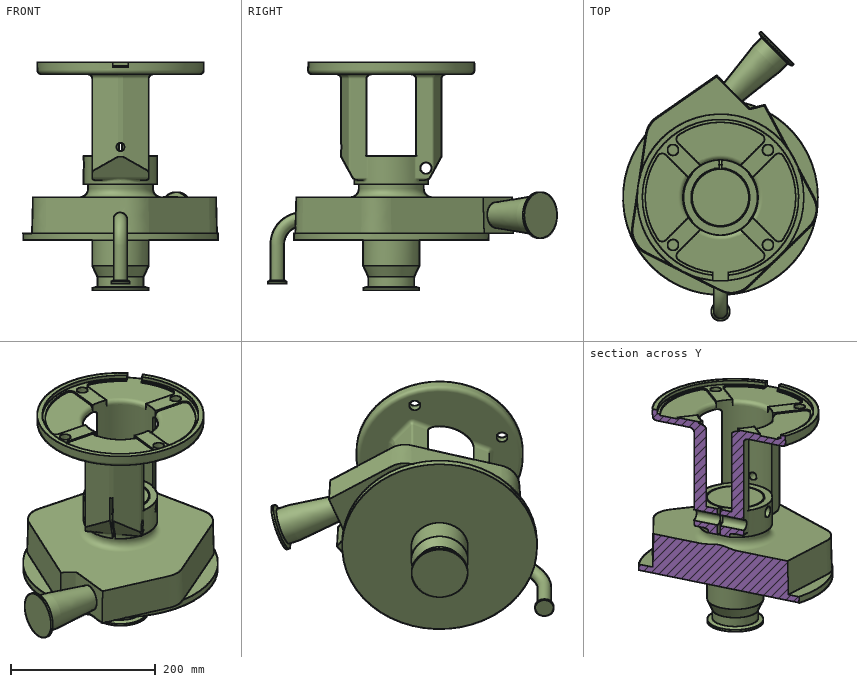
import cadquery as cq
import math

plate_top = 9.5
casing_top = 59.5
neck_top = 77.0
collar_top = 116.0
flange_top = 245.5

plate_radius = 134.5
casing_draft = 1.5
casing_corner_radius = 35.0
casing_outlet_top = (-5.0, 168.5)
outlet_face_length = 64.5
casing_tip = (61.0, 128.0)
casing_rounded_corners = [(141.5, -23.0), (21.5, -140.0), (-125.5, -65.5), (-101.0, 101.8)]

neck_radius = 45.0
neck_fillet = 11.0
collar_radius = 51.0
collar_bore_radius = 40.5
shaft_radius = 39.0
collar_hole_radius = 7.5
collar_hole_height = 104.0

yoke_bore_radius = 52.0
leg_half_width = 39.0
leg_shoulder = 58.3
leg_ridge = 69.5
ridge_half_width = 3.0
leg_bottom = 83.0
leg_bevel_height = 115.5
leg_bevel_run_per_rise = 0.55
leg_edge_fillet = 3.0
leg_collar_fillet = 3.0
leg_foot_fillet = 8.8
leg_root_fillet = 6.0
leg_hole_radius = 5.5
leg_hole_height = 128.5
clamp_slit_width = 4.0
clamp_slit_top = 151.5
clamp_bolt_radius = 7.5
clamp_bolt_offset = 48.0
clamp_bolt_height = 99.5

flange_radius = 115.0
flange_thickness = 16.8
flange_fillet = 6.0
flange_bottom = flange_top - flange_thickness
recess_radius = 107.7
recess_depth = 5.0
pocket_radius = 103.7
pocket_depth = 2.0
pocket_corner_radius = 7.0
pocket_lip_radius = 6.5
spoke_width = 23.5
bolt_circle_radius = 92.5
bolt_hole_radius = 7.5
notch_width = 21.0

inlet_body_radius = 39.0
inlet_body_length = 35.0
inlet_cone_end = 50.5
inlet_tube_radius = 32.0
inlet_length = 69.0
inlet_rim_radius = 38.7

outlet_root_radius = 18.0
outlet_root_depth = 4.0
outlet_cone_length = 64.2
outlet_tube_radius = 25.5
outlet_length = 85.8
outlet_rim_radius = 32.0

drain_radius = 9.5
drain_offset = 157.2
drain_bend_radius = 35.0
drain_bend_bottom = -6.0
drain_bottom = -60.3
drain_rim_radius = 12.95
drain_root = 111.7

rim_thickness = 3.0
rim_back = 2.0

diagonal = math.sqrt(0.5)


def cylinder(radius, bottom, top):
    return cq.Workplane("XY").workplane(offset=bottom).circle(radius).extrude(top - bottom)


def nearest(x, y, z):
    return cq.selectors.NearestToPointSelector((x, y, z))


def revolved(profile):
    """Solid turned about Z from a closed profile of radius and height."""
    return profile.close().revolve(360, (0, 0, 0), (0, 1, 0))


def make_casing():
    plate = cylinder(plate_radius, 0, plate_top)
    step = outlet_face_length * diagonal
    outlet_foot = (casing_outlet_top[0] + step, casing_outlet_top[1] - step)
    outline = [casing_outlet_top, outlet_foot, casing_tip] + casing_rounded_corners
    height = casing_top - plate_top
    body = cq.Workplane("XY").polyline(outline).close().extrude(height)
    for x, y in casing_rounded_corners:
        body = body.edges(nearest(x, y, casing_top / 2)).fillet(casing_corner_radius)
    drafted = body.faces("<Z").wires().toPending().extrude(height, taper=casing_draft, combine=False)
    return plate.union(drafted.translate((0, 0, plate_top)))


def make_neck_and_collar():
    arc_reach = neck_fillet * (1 - diagonal)
    neck = revolved(
        cq.Workplane("XZ")
        .moveTo(0, plate_top)
        .lineTo(neck_radius + neck_fillet, plate_top)
        .lineTo(neck_radius + neck_fillet, casing_top)
        .threePointArc(
            (neck_radius + arc_reach, casing_top + arc_reach),
            (neck_radius, casing_top + neck_fillet),
        )
        .lineTo(neck_radius, neck_top)
        .lineTo(0, neck_top)
    )
    return neck.union(cylinder(collar_radius, neck_top, collar_top))


def make_leg():
    """Leg on the -Y side, with a ridged outer face and a bevelled foot."""
    leg = (
        cq.Workplane("XY")
        .workplane(offset=leg_bottom)
        .polyline([
            (-leg_half_width, 0),
            (-leg_half_width, -leg_shoulder),
            (-ridge_half_width, -leg_ridge),
            (ridge_half_width, -leg_ridge),
            (leg_half_width, -leg_shoulder),
            (leg_half_width, 0),
        ])
        .close()
        .extrude(flange_bottom - leg_bottom)
    )
    for x in (-leg_half_width, leg_half_width):
        shoulder = nearest(x, -leg_shoulder, (leg_bottom + flange_bottom) / 2)
        leg = leg.edges(shoulder).fillet(leg_edge_fillet)
        bottom_edge = nearest(x, -leg_half_width, leg_bottom)
        leg = leg.edges(bottom_edge).fillet(leg_edge_fillet)
    bevel_foot = leg_ridge - leg_bevel_run_per_rise * (leg_bevel_height - leg_bottom)
    side = (
        cq.Workplane("YZ")
        .polyline([
            (0, leg_bottom),
            (-bevel_foot, leg_bottom),
            (-leg_ridge, leg_bevel_height),
            (-leg_ridge, flange_bottom),
            (0, flange_bottom),
        ])
        .close()
        .extrude(leg_half_width, both=True)
    )
    foot = nearest(0, -bevel_foot, leg_bottom)
    return leg.intersect(side.edges(foot).fillet(leg_foot_fillet))


def make_yoke():
    """Motor flange with two opposite legs, bored out above the collar."""
    flange = cylinder(flange_radius, flange_bottom, flange_top).faces("<Z").edges().fillet(flange_fillet)
    leg = make_leg()
    yoke = flange.union(leg).union(leg.mirror("XZ"))
    margin = 4
    flatness = 0.05
    roots = cq.selectors.BoxSelector(
        (-leg_half_width - margin, -leg_ridge - margin, flange_bottom - flatness),
        (leg_half_width + margin, leg_ridge + margin, flange_bottom + flatness),
    )
    yoke = yoke.edges(roots).fillet(leg_root_fillet)
    return yoke.cut(cylinder(yoke_bore_radius, collar_top, flange_top))


def flange_cuts():
    """Recess, four pockets with rounded inner lips, rim notch and bolt holes."""
    recess_floor = flange_top - recess_depth
    pocket_floor = recess_floor - pocket_depth
    recess = cylinder(recess_radius, recess_floor, flange_top)
    pocket = cylinder(pocket_radius, pocket_floor, recess_floor)
    lip_outer = yoke_bore_radius + pocket_lip_radius
    lip_bottom = pocket_floor - pocket_lip_radius
    reach = pocket_lip_radius * diagonal
    lip = revolved(
        cq.Workplane("XZ")
        .moveTo(0, pocket_floor)
        .lineTo(lip_outer, pocket_floor)
        .threePointArc((lip_outer - reach, lip_bottom + reach), (yoke_bore_radius, lip_bottom))
        .lineTo(0, lip_bottom)
    )
    for angle in (45, 135):
        spoke = cq.Workplane("XY").box(2 * flange_radius, spoke_width, 2 * flange_top)
        spoke = spoke.rotate((0, 0, 0), (0, 0, 1), angle)
        pocket = pocket.cut(spoke)
        lip = lip.cut(spoke)
    outer_corners = cq.selectors.SubtractSelector(
        cq.selectors.StringSyntaxSelector("|Z"),
        cq.selectors.BoxSelector((-lip_outer, -lip_outer, 0), (lip_outer, lip_outer, flange_top)),
    )
    pocket = pocket.edges(outer_corners).fillet(pocket_corner_radius)
    notch_overlap = 4
    notch_length = flange_radius - pocket_radius + notch_overlap
    notch = (
        cq.Workplane("XY")
        .box(notch_width, notch_length, recess_depth + pocket_depth, centered=(True, False, False))
        .translate((0, -flange_radius, pocket_floor))
    )
    bolts = (
        cq.Workplane("XY")
        .workplane(offset=flange_bottom)
        .polarArray(bolt_circle_radius, 45, 360, 4)
        .circle(bolt_hole_radius)
        .extrude(flange_thickness)
    )
    return recess.union(pocket).union(lip).union(notch).union(bolts)


def clamp_cuts():
    """Gap around the shaft, clamp slit, clamp bolt hole, leg hole and collar hole."""
    shaft = cylinder(shaft_radius, neck_top, collar_top)
    shaft_gap = cylinder(collar_bore_radius, neck_top, collar_top).cut(shaft)
    slit = (
        cq.Workplane("XY")
        .box(clamp_slit_width, leg_ridge, clamp_slit_top - neck_top, centered=(True, False, False))
        .translate((0, shaft_radius, neck_top))
    )
    clamp_bolt = (
        cq.Workplane("YZ")
        .center(clamp_bolt_offset, clamp_bolt_height)
        .circle(clamp_bolt_radius)
        .extrude(leg_half_width, both=True)
    )
    leg_hole = cq.Workplane("XZ").center(0, leg_hole_height).circle(leg_hole_radius).extrude(leg_ridge)
    collar_hole = (
        cq.Workplane("YZ")
        .workplane(offset=-collar_radius)
        .center(0, collar_hole_height)
        .circle(collar_hole_radius)
        .extrude(collar_radius - shaft_radius)
    )
    return shaft_gap.union(slit).union(clamp_bolt).union(leg_hole).union(collar_hole)


def ferrule(tube_radius, rim_radius, end):
    """Profile points of a pipe end whose tube widens to a thin rim."""
    rim_start = end - rim_thickness
    return [(tube_radius, rim_start - rim_back), (rim_radius, rim_start), (rim_radius, end), (0, end)]


def make_inlet():
    profile = [
        (0, 0),
        (inlet_body_radius, 0),
        (inlet_body_radius, inlet_body_length),
        (inlet_tube_radius, inlet_cone_end),
    ]
    profile += ferrule(inlet_tube_radius, inlet_rim_radius, inlet_length)
    return revolved(cq.Workplane("XZ").polyline(profile)).rotate((0, 0, 0), (1, 0, 0), 180)


def make_outlet():
    profile = [
        (0, -outlet_root_depth),
        (outlet_root_radius, -outlet_root_depth),
        (outlet_root_radius, 0),
        (outlet_tube_radius, outlet_cone_length),
    ]
    profile += ferrule(outlet_tube_radius, outlet_rim_radius, outlet_length)
    along_face = outlet_face_length / 2 * diagonal
    face_middle = (
        casing_outlet_top[0] + along_face,
        casing_outlet_top[1] - along_face,
        (plate_top + casing_top) / 2,
    )
    pipe = revolved(cq.Workplane("XZ").polyline(profile)).rotate((0, 0, 0), (0, 1, 0), 90)
    return pipe.rotate((0, 0, 0), (0, 0, 1), 45).translate(face_middle)


def make_drain():
    bend_y = drain_bend_radius - drain_offset
    bend_top = drain_bend_bottom + drain_bend_radius
    reach = drain_bend_radius * diagonal
    path = (
        cq.Workplane("YZ")
        .moveTo(-drain_offset, drain_bottom)
        .lineTo(-drain_offset, drain_bend_bottom)
        .threePointArc((bend_y - reach, drain_bend_bottom + reach), (bend_y, bend_top))
        .lineTo(-drain_root, bend_top)
    )
    pipe = cq.Workplane("XY", origin=(0, -drain_offset, drain_bottom)).circle(drain_radius).sweep(path)
    rim_profile = [(0, -rim_thickness - rim_back)] + ferrule(drain_radius, drain_rim_radius, 0)
    rim = revolved(cq.Workplane("XZ").polyline(rim_profile)).rotate((0, 0, 0), (1, 0, 0), 180)
    return pipe.union(rim.translate((0, -drain_offset, drain_bottom)))


result = make_neck_and_collar().union(make_yoke().cut(flange_cuts()))

joints = cq.selectors.BoxSelector(
    (-leg_half_width - leg_edge_fillet, -leg_half_width, leg_bottom - leg_edge_fillet),
    (leg_half_width + leg_edge_fillet, leg_half_width, collar_top - leg_edge_fillet),
)
result = result.edges(joints).edges("|Z").fillet(leg_collar_fillet)

result = result.union(make_casing())
result = result.cut(clamp_cuts())
result = result.union(make_inlet()).union(make_outlet()).union(make_drain())